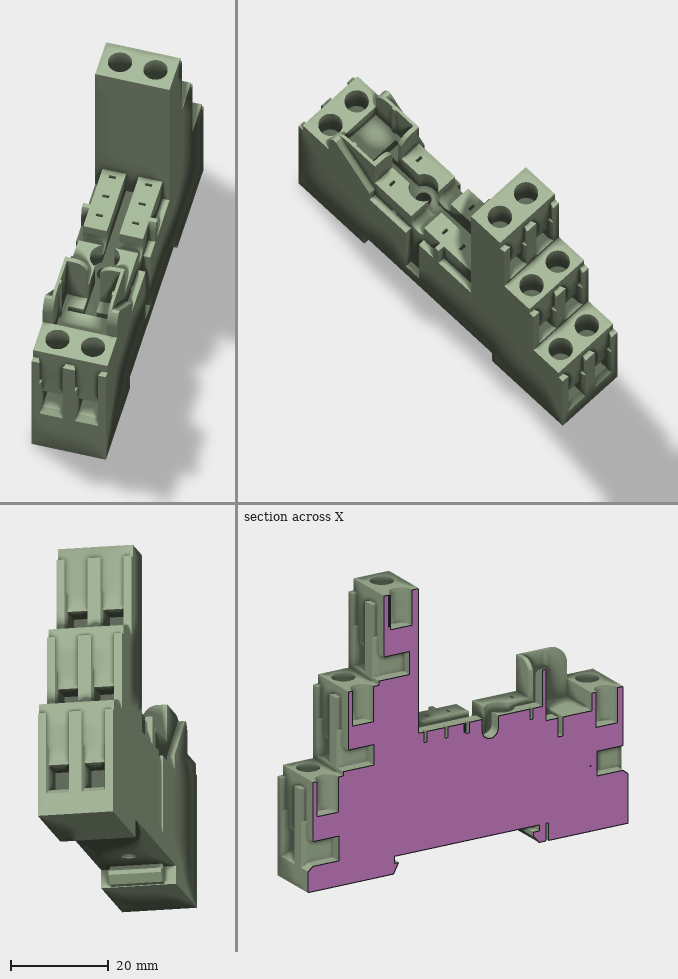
import cadquery as cq

width = 15.8
length = 77
height = 61.5
half_width = width / 2
rear = length / 2
front = -length / 2

setback = 1.2
low_top, low_rim = 24.0, 21.8
middle_face, middle_top, middle_rim = 30, 42.2, 40.2
high_face, high_rim = 21.5, 58.9
tower_front = 11.8
front_top, front_rim = 30.3, 28.1

seat_top = 29.8
ledge_depth = 1.55
ledge_z = low_top
seat_half_width = half_width - ledge_depth
cheek_rear, cheek_front, cheek_top = -17.8, -29.7, 37.8
cheek_radius = 4.0

rail_rear, rail_front, rail_height = 17.9, -19.3, 3.85


def box(x_range, y_range, z_range):
    """Box between two limits along each axis."""
    (x0, x1), (y0, y1), (z0, z1) = x_range, y_range, z_range
    return cq.Workplane("XY").box(x1 - x0, y1 - y0, z1 - z0, centered=False).translate((x0, y0, z0))


def along_x(sketch, x0, x1):
    """Extrude a closed YZ sketch from x0 to x1."""
    return sketch.extrude(x1 - x0).translate((x0, 0, 0))


def both_sides(shape):
    """The shape together with its mirror image across x = 0."""
    return shape.union(shape.mirror("YZ"))


def make_body():
    sketch = (
        cq.Workplane("YZ")
        .moveTo(front, 0)
        .lineTo(rail_front, 0)
        .lineTo(rail_front, rail_height)
        .lineTo(rail_rear, rail_height)
        .lineTo(rail_rear, 0)
        .lineTo(rear, 0)
        .lineTo(rear, low_rim)
        .lineTo(rear - setback, low_rim)
        .lineTo(rear - setback, low_top)
        .lineTo(middle_face, low_top)
        .lineTo(middle_face, middle_rim)
        .lineTo(middle_face - setback, middle_rim)
        .lineTo(middle_face - setback, middle_top)
        .lineTo(high_face, middle_top)
        .lineTo(high_face, high_rim)
        .lineTo(high_face - setback, high_rim)
        .lineTo(high_face - setback, height)
        .lineTo(tower_front, height)
        .lineTo(tower_front, seat_top)
        .lineTo(cheek_rear, seat_top)
        .lineTo(cheek_rear, cheek_top)
        .lineTo(cheek_front + cheek_radius, cheek_top)
        .radiusArc((cheek_front, cheek_top - cheek_radius), -cheek_radius)
        .lineTo(cheek_front, front_top)
        .lineTo(front + setback, front_top)
        .lineTo(front + setback, front_rim)
        .lineTo(front, front_rim)
        .close()
    )
    return along_x(sketch, -half_width, half_width)


clip_half_width = 5.55


def rail_clips():
    rear_stem, rear_tip, rear_hook_z = 17.6, 16.6, 2.4
    rear_hook = (
        cq.Workplane("YZ")
        .moveTo(rail_rear, 0)
        .lineTo(rear_tip, rear_hook_z)
        .lineTo(rear_stem, rear_hook_z)
        .lineTo(rear_stem, rail_height)
        .lineTo(rail_rear, rail_height)
        .close()
    )
    front_back, front_stem, front_tip = -18.8, -17.1, -15.6
    tip_low, tip_high = 1.7, 2.6
    front_hook = (
        cq.Workplane("YZ")
        .moveTo(front_back, 0)
        .lineTo(front_stem, 0)
        .lineTo(front_tip, tip_low)
        .lineTo(front_tip, tip_high)
        .lineTo(front_stem, tip_high)
        .lineTo(front_stem, rail_height)
        .lineTo(front_back, rail_height)
        .close()
    )
    hooks = [along_x(hook, -clip_half_width, clip_half_width) for hook in (rear_hook, front_hook)]
    return hooks[0].union(hooks[1])


terminal_x = 3.8
screw_diameter = 5.0
screw_depth = 7.7
screw_rows = [(33.7, low_top), (25.25, middle_top), (16.0, height), (-33.35, front_top)]


def screw_holes():
    holes = cq.Workplane("XY")
    for y, top in screw_rows:
        spots = [(-terminal_x, y), (terminal_x, y)]
        row = cq.Workplane("XY").workplane(offset=top).pushPoints(spots)
        holes = holes.add(row.circle(screw_diameter / 2).extrude(-screw_depth))
    return holes.combine()


entry_width, entry_flare, entry_neck = 4.85, 5.8, 4.2
entry_height = 17.2
undercut_height = 7.15
floor_rise = 1.0
cavity_top_drop = 10.85
cavity_depth = 6.15
shelf_height = 0.9


def tapered_groove(face, back, back_width, z_range):
    """Upright groove at x = 0, entry_width wide at the face and back_width wide at its back."""
    bottom, top = z_range
    corners = [
        (-entry_width / 2, face),
        (entry_width / 2, face),
        (back_width / 2, back),
        (-back_width / 2, back),
    ]
    return cq.Workplane("XY").workplane(offset=bottom).polyline(corners).close().extrude(top - bottom)


def wire_entry(face, inward, rim, lowest):
    """Entry at x = 0 in the wall y = face, kept above lowest; inward is the sign of Y into the body."""
    back = face + inward * setback
    bottom = rim - entry_height
    funnel_top = rim - undercut_height
    groove = tapered_groove(face, back, entry_flare, (funnel_top, rim))
    funnel = tapered_groove(face, back, entry_neck, (bottom, funnel_top))
    sloped_floor = (
        cq.Workplane("YZ")
        .polyline([(face, bottom), (back, bottom), (back, bottom + floor_rise)])
        .close()
        .extrude(entry_width / 2, both=True)
    )
    cavity = box(
        (-entry_neck / 2, entry_neck / 2),
        sorted((back, back + inward * cavity_depth)),
        (bottom + floor_rise, rim - cavity_top_drop),
    )
    entry = groove.union(funnel.cut(sloped_floor)).union(cavity)
    below_shelf = box((-half_width, half_width), (front, rear), (0, lowest))
    return entry.cut(below_shelf)


def wire_entries():
    walls = [
        (front, 1, front_rim, front_rim - entry_height),
        (rear, -1, low_rim, low_rim - entry_height),
        (middle_face, -1, middle_rim, low_top + shelf_height),
        (high_face, -1, high_rim, middle_top + shelf_height),
    ]
    entries = cq.Workplane("XY")
    for wall in walls:
        entries = entries.add(wire_entry(*wall).translate((terminal_x, 0, 0)))
    return both_sides(entries.combine())


tab_rear, tab_front = 2.3, 0.7
tab_radius = 5.0
tab_straight_top = 27.25
tab_top_front = 1.3

slot_rear, slot_front = -3.5, -7.2
slot_centre = (slot_rear + slot_front) / 2
slot_radius = (slot_rear - slot_front) / 2
slot_bottom = 25.25
side_groove_bottom = 7.7

notch_rear, notch_front, notch_height, notch_depth = -11.5, -12.8, 1.0, 0.8


def side_ledges():
    x_range = (seat_half_width, half_width)
    ledge = box(x_range, (cheek_rear, tower_front), (ledge_z, seat_top))
    tab_sketch = (
        cq.Workplane("YZ")
        .moveTo(tab_rear, ledge_z)
        .lineTo(tab_rear, seat_top)
        .lineTo(tab_top_front, seat_top)
        .radiusArc((tab_front, tab_straight_top), -tab_radius)
        .lineTo(tab_front, ledge_z)
        .close()
    )
    ledge = ledge.cut(along_x(tab_sketch, *x_range))
    groove = box(x_range, (slot_front, slot_rear), (side_groove_bottom, ledge_z))
    notch = box(
        (seat_half_width - notch_depth, seat_half_width),
        (notch_front, notch_rear),
        (ledge_z, ledge_z + notch_height),
    )
    return both_sides(ledge.union(groove).union(notch))


def cross_slot():
    sketch = (
        cq.Workplane("YZ")
        .moveTo(slot_rear, seat_top)
        .lineTo(slot_rear, slot_bottom + slot_radius)
        .threePointArc((slot_centre, slot_bottom), (slot_front, slot_bottom + slot_radius))
        .lineTo(slot_front, seat_top)
        .close()
    )
    return along_x(sketch, -half_width, half_width)


cheek_inner = 5.7
shoulder_low, shoulder_top = 26.95, 36.8
web_thickness = 1.0
web_front = cheek_rear - web_thickness
web_arc_x = 4.2
web_arc_radius = 3.15
web_arc_end = 35.9
cradle_floor = 26.5
rib_rear, rib_front, rib_height = -23.9, -24.8, 0.3


def shoulder_cuts():
    slope_end = cheek_rear - (shoulder_top - shoulder_low)
    sketch = (
        cq.Workplane("YZ")
        .moveTo(cheek_rear, shoulder_low)
        .lineTo(slope_end, shoulder_top)
        .lineTo(cheek_front, shoulder_top)
        .lineTo(cheek_front, cheek_top)
        .lineTo(cheek_rear, cheek_top)
        .close()
    )
    return both_sides(along_x(sketch, seat_half_width, half_width))


def cradle():
    """Space between the cheeks, less the locating rib on each cheek."""
    space = box((-cheek_inner, cheek_inner), (cheek_front, web_front), (cradle_floor, cheek_top))
    rib = box((cheek_inner - rib_height, cheek_inner), (rib_front, rib_rear), (cradle_floor, cheek_top))
    return space.cut(both_sides(rib))


channel_width = 2.7
channel_half_width = channel_width / 2
channel_front = -21.7
channel_floor = ledge_z
well_y, well_radius, mounting_hole_radius = -10, 3.1, 1.6
slit_half_length, slit_width, slit_bottom = 4.55, 1.1, 22.3


def web_opening():
    """Gap between the two webs, with the webs' rounded inner corners."""
    sketch = (
        cq.Workplane("XZ")
        .moveTo(0, seat_top)
        .lineTo(channel_half_width, seat_top)
        .lineTo(channel_half_width, web_arc_end)
        .radiusArc((web_arc_x, cheek_top), web_arc_radius)
        .lineTo(0, cheek_top)
        .close()
    )
    return both_sides(sketch.extrude(web_thickness).translate((0, cheek_rear, 0)))


def channel():
    across = (-channel_half_width, channel_half_width)
    groove = box(across, (channel_front, tower_front), (channel_floor, seat_top))
    well_centre = cq.Workplane("XY").center(0, well_y)
    well = well_centre.workplane(offset=channel_floor).circle(well_radius).extrude(seat_top - channel_floor)
    hole = well_centre.circle(mounting_hole_radius).extrude(seat_top)
    slit = box(
        (-slit_half_length, slit_half_length),
        (channel_front - slit_width, channel_front),
        (slit_bottom, cradle_floor),
    )
    return groove.union(well).union(hole).union(slit)


contact_x = 3.85
contact_rows = [10.25, 5.15, 0.1, -15.25]
contact_width, contact_length, contact_depth = 1.5, 0.655, 2.3


def contact_slots():
    spots = [(side * contact_x, y) for side in (-1, 1) for y in contact_rows]
    return (
        cq.Workplane("XY")
        .workplane(offset=seat_top)
        .pushPoints(spots)
        .rect(contact_width, contact_length)
        .extrude(-contact_depth)
    )


result = make_body().union(rail_clips())
features = [
    screw_holes(),
    wire_entries(),
    side_ledges(),
    cross_slot(),
    shoulder_cuts(),
    cradle(),
    web_opening(),
    channel(),
    contact_slots(),
]
for feature in features:
    result = result.cut(feature)